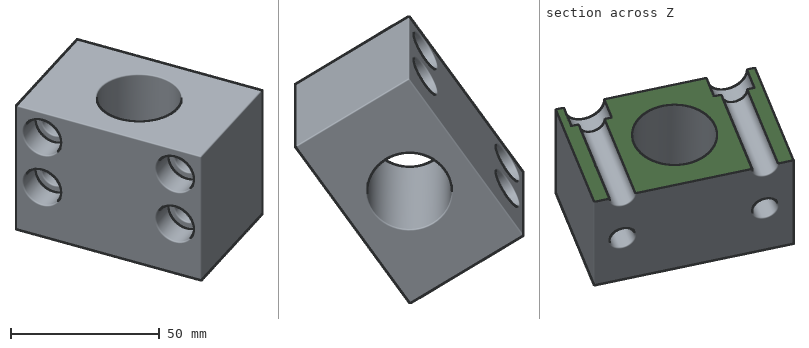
import cadquery as cq

LENGTH = 70.0
WIDTH = 46.0
HEIGHT = 50.0

EDGE_RADIUS = 0.5

BORE_DIAMETER = 28.4

HOLE_DIAMETER = 8.9
COUNTERBORE_DIAMETER = 14.0
COUNTERBORE_DEPTH = 9.0
COLUMN_SPACING = 50.0
ROW_SPACING = 20.0
TOP_ROW_BELOW_TOP = 10.0

FRONT_Y = -WIDTH / 2
TOP_Z = HEIGHT / 2
SEAT_Y = FRONT_Y + COUNTERBORE_DEPTH
TOP_ROW_Z = TOP_Z - TOP_ROW_BELOW_TOP
SCREW_POSITIONS = [
    (side * COLUMN_SPACING / 2, row_z)
    for side in (-1, 1)
    for row_z in (TOP_ROW_Z, TOP_ROW_Z - ROW_SPACING)
]


def is_rounded_block_edge(edge):
    """True for every block edge except the upright one at the -X, +Y corner, which stays sharp."""
    center = edge.Center()
    return not (center.x < 0 and center.y > 0 and edge.BoundingBox().zlen > HEIGHT / 2)


def is_hole_rim(edge):
    """True for every full circle except the inside corner around a counterbore's seat."""
    if edge.geomType() != "CIRCLE" or not edge.IsClosed():
        return False
    at_seat_level = abs(edge.Center().y - SEAT_Y) < EDGE_RADIUS
    wider_than_hole = edge.radius() > HOLE_DIAMETER / 2 + EDGE_RADIUS
    return not (at_seat_level and wider_than_hole)


def make_block():
    """Block centred on the origin with its edges rounded."""
    block = cq.Workplane("XY").box(LENGTH, WIDTH, HEIGHT)
    return block.edges().filter(is_rounded_block_edge).fillet(EDGE_RADIUS)


def make_bore():
    """Cutter for the through bore along Z."""
    return cq.Workplane("XY").circle(BORE_DIAMETER / 2).extrude(HEIGHT, both=True)


def make_screw_holes():
    """Cutter for the four through holes along Y and their counterbores."""
    front = cq.Workplane("XZ", origin=(0, FRONT_Y, 0)).pushPoints(SCREW_POSITIONS)
    holes = front.circle(HOLE_DIAMETER / 2).extrude(-WIDTH)
    counterbores = front.circle(COUNTERBORE_DIAMETER / 2).extrude(-COUNTERBORE_DEPTH)
    return holes.union(counterbores)


result = make_block().cut(make_bore()).cut(make_screw_holes())
result = result.edges().filter(is_hole_rim).fillet(EDGE_RADIUS)